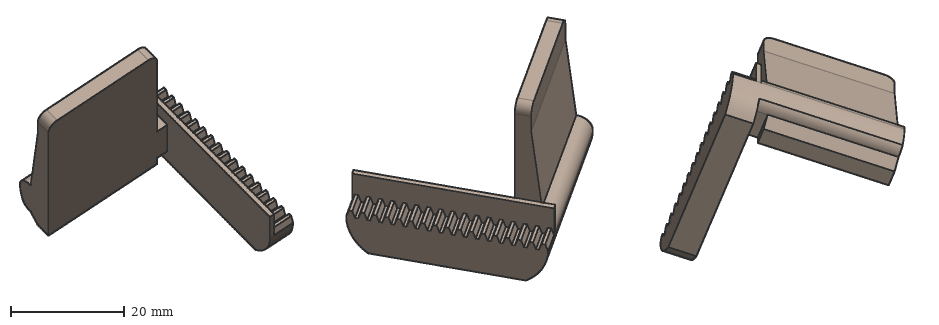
import cadquery as cq
import math

total_width = 36.75
total_depth = 32.25
total_height = 34.5

plate_front = 26.95
plate_thickness = 1.0
plate_height = 14.45
corner_radius = 10.0
corner_center_height = 8.0
tooth_count = 17
tooth_height = 1.5
flank_width = 0.5
crest_width = 0.62

bar_bottom = 2.98
bar_top = 11.02
bar_radius = 3.0
blade_back_x = 8.0

blade_length = 24.65
blade_bottom = 1.1
blade_tip_thickness = 3.0
taper_top = 29.0
blade_corner_radius = 2.0

blade_tip_x = blade_back_x - blade_tip_thickness
corner_run = corner_radius - math.sqrt(corner_radius**2 - corner_center_height**2)
block_depth = total_depth - plate_front


def extrude_along_y(profile, start, length):
    """Place an XZ profile at Y = start and extrude it toward +Y."""
    return profile.extrude(-length).translate((0, start, 0))


def make_rounded_base(start, length):
    """Lower body whose corners are arcs cut off by the flat bottom."""
    half_angle = math.asin(corner_center_height / corner_radius) / 2
    mid_x = corner_radius * (1 - math.cos(half_angle))
    mid_z = corner_center_height - corner_radius * math.sin(half_angle)
    profile = (
        cq.Workplane("XZ")
        .moveTo(0, corner_center_height)
        .threePointArc((mid_x, mid_z), (corner_run, 0))
        .lineTo(total_width - corner_run, 0)
        .threePointArc((total_width - mid_x, mid_z), (total_width, corner_center_height))
        .close()
    )
    return extrude_along_y(profile, start, length)


def make_plate(start, length):
    """Rounded base continued straight up to the plate height."""
    upper_height = plate_height - corner_center_height
    upper = (
        cq.Workplane("XY")
        .box(total_width, length, upper_height, centered=False)
        .translate((0, start, corner_center_height))
    )
    return make_rounded_base(start, length).union(upper)


def make_toothed_block():
    """Block with a row of trapezoidal teeth, starting and ending on a flank."""
    tooth_width = 2 * flank_width + crest_width
    pitch = (total_width - tooth_width) / (tooth_count - 1)
    crest_height = corner_center_height + tooth_height
    block = make_rounded_base(plate_front, block_depth)
    for index in range(tooth_count):
        left = index * pitch
        tooth = (
            cq.Workplane("XZ")
            .moveTo(left, corner_center_height)
            .lineTo(left + flank_width, crest_height)
            .lineTo(left + flank_width + crest_width, crest_height)
            .lineTo(left + tooth_width, corner_center_height)
            .close()
        )
        block = block.union(extrude_along_y(tooth, plate_front, block_depth))
    return block


def make_bar():
    """Bar with rounded left edges, trimmed to the rounded corner of the plate."""
    bar = (
        cq.Workplane("XY")
        .box(blade_back_x, plate_front, bar_top - bar_bottom, centered=False)
        .translate((0, 0, bar_bottom))
        .edges("|Y and <X")
        .fillet(bar_radius)
    )
    envelope = make_plate(0, plate_front)
    return bar.intersect(envelope)


def make_blade():
    """Blade tapering from the bar to a thin tip with rounded upper corners."""
    profile = (
        cq.Workplane("XZ")
        .moveTo(blade_back_x, blade_bottom)
        .lineTo(blade_back_x, total_height)
        .lineTo(blade_tip_x, total_height)
        .lineTo(blade_tip_x, taper_top)
        .lineTo(bar_radius, bar_top)
        .lineTo(bar_radius, bar_bottom)
        .lineTo(blade_tip_x, blade_bottom)
        .close()
    )
    blade = extrude_along_y(profile, 0, blade_length)
    return blade.edges("|X and >Z").fillet(blade_corner_radius)


plate = make_plate(plate_front, plate_thickness)
result = plate.union(make_toothed_block()).union(make_bar()).union(make_blade())